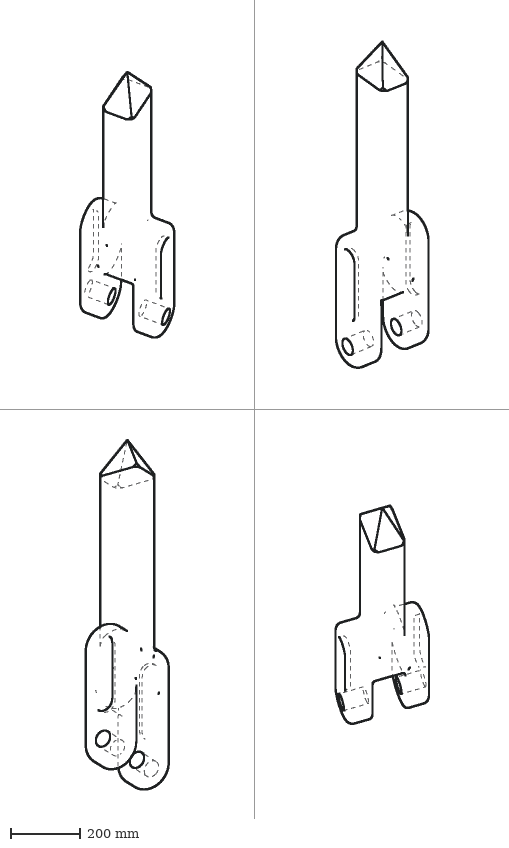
import cadquery as cq

total_height = 1070.0
depth = 140.0
end_radius = depth / 2
outer_fillet = 20.0
inner_fillet = 10.0

yoke_width = 250.0
yoke_height = 440.0
fork_gap = 101.0
leg_thickness = (yoke_width - fork_gap) / 2
bridge_bottom = 200.0
lower_center = end_radius
bridge_center = bridge_bottom + end_radius
upper_center = yoke_height - end_radius
pin_hole_diameter = 50.0

recess_width = 70.0
recess_bottom_center = 190.0
recess_depth = 20.0
recess_fillet = 4.9
wall_width = recess_width - 2 * recess_fillet

shank_width = 101.0
tip_height = 120.0
tip_base = total_height - tip_height


def slot_prism(bottom_center, top_center, width, x_start, length):
    """Upright prism with round top and bottom, running along +X."""
    return (
        cq.Workplane("YZ", origin=(x_start, 0, (bottom_center + top_center) / 2))
        .slot2D(top_center - bottom_center + width, width, 90)
        .extrude(length)
    )


def bar(bottom, top):
    """Upright bar with the rounded rectangular section of the shank."""
    return (
        cq.Workplane("XY", origin=(0, 0, bottom))
        .rect(shank_width, depth)
        .extrude(top - bottom)
        .edges("|Z")
        .fillet(outer_fillet)
    )


def make_leg():
    """The +X fork leg, rounded along its outer and inner rims."""
    plate = slot_prism(lower_center, upper_center, depth, fork_gap / 2, leg_thickness)
    plate = plate.faces(">X").edges().fillet(outer_fillet)
    return plate.faces("<X").edges().fillet(inner_fillet)


def edges_between(body, low_corner, high_corner):
    """Edges of the body that lie wholly inside a box, with a little slack."""
    slack = 1.0
    low = tuple(value - slack for value in low_corner)
    high = tuple(value + slack for value in high_corner)
    return body.edges(cq.selectors.BoxSelector(low, high, boundingbox=True))


def edges_within(body, half_width, bottom, top):
    """Edges of the body between X = -half_width and +half_width, and between two heights."""
    return edges_between(body, (-half_width, -depth, bottom), (half_width, depth, top))


def cut_recess(leg):
    """Sink a recess into the +X face of a leg, then round its rim and the edge of its floor."""
    outer_x = yoke_width / 2
    floor_x = outer_x - recess_depth
    cutter = slot_prism(recess_bottom_center, upper_center, wall_width, floor_x, recess_depth)
    cutter = cutter.faces("<X").edges().fillet(recess_fillet)
    leg = leg.cut(cutter)
    half_wall = wall_width / 2
    rim = edges_between(
        leg,
        (outer_x, -half_wall, recess_bottom_center - half_wall),
        (outer_x, half_wall, upper_center + half_wall),
    )
    return rim.fillet(recess_fillet)


def make_yoke():
    """Fork with two mirrored legs joined by a bridge, and a hole for a pin."""
    half = cut_recess(make_leg())
    bridge_half_width = fork_gap / 2 + inner_fillet
    bridge = slot_prism(bridge_center, upper_center, depth, -bridge_half_width, 2 * bridge_half_width)
    yoke = half.union(half.mirror("YZ")).union(bridge)
    bridge_corners = edges_within(yoke, bridge_half_width, bridge_bottom, bridge_center)
    yoke = bridge_corners.edges("not(|X)").fillet(inner_fillet)
    pin_hole = (
        cq.Workplane("YZ", origin=(-yoke_width / 2, 0, lower_center))
        .circle(pin_hole_diameter / 2)
        .extrude(yoke_width)
    )
    return yoke.cut(pin_hole)


def make_forked_shank():
    """Yoke and shank in one piece, blended where the shank meets the shoulders."""
    body = make_yoke().union(bar(bridge_center, tip_base))
    return edges_within(body, shank_width / 2, upper_center, yoke_height).fillet(outer_fillet)


def make_tip():
    """Four-sided point, trimmed to the rounded section of the shank."""
    half_x = shank_width / 2
    half_y = depth / 2
    apex = (0, total_height)
    front_profile = [(-half_x, tip_base), (half_x, tip_base), apex]
    side_profile = [(-half_y, tip_base), (half_y, tip_base), apex]
    front_wedge = cq.Workplane("XZ").polyline(front_profile).close().extrude(half_y, both=True)
    side_wedge = cq.Workplane("YZ").polyline(side_profile).close().extrude(half_x, both=True)
    return front_wedge.intersect(side_wedge).intersect(bar(tip_base, total_height))


forked_shank = make_forked_shank()
tip = make_tip()

result = cq.Compound.makeCompound([forked_shank.solids().val(), tip.solids().val()])